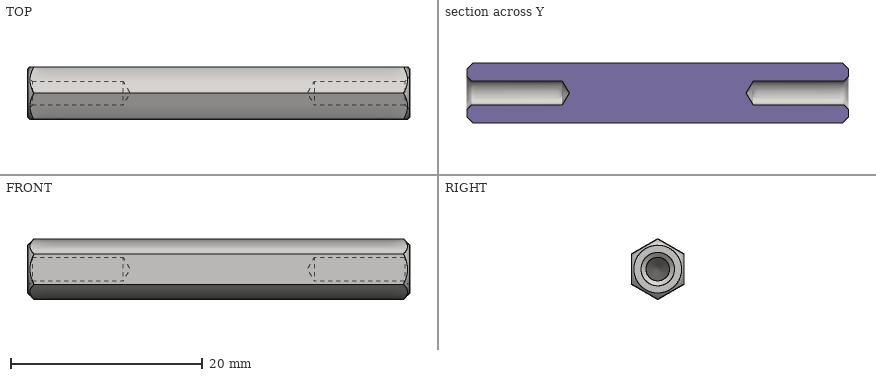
import cadquery as cq
import math

length = 40.0
across_flats = 5.5
across_corners = across_flats / math.cos(math.radians(30))

end_face_diameter = 5.0
end_chamfer_angle = 45.0

hole_diameter = 2.46
hole_depth = 10.0
drill_point_angle = 118.0
countersink_diameter = 3.5
countersink_angle = 90.0

half_length = length / 2
corner_radius = across_corners / 2


def hex_bar():
    """Hexagonal prism centred on the origin, with corners pointing up and down Z."""
    return (
        cq.Workplane("YZ")
        .polygon(6, across_corners)
        .extrude(half_length, both=True)
        .rotate((0, 0, 0), (1, 0, 0), 90)
    )


def chamfer_envelope():
    """Round bar with coned ends that just encloses the hexagon corners."""
    end_radius = end_face_diameter / 2
    chamfer_length = (corner_radius - end_radius) / math.tan(math.radians(end_chamfer_angle))
    shoulder = half_length - chamfer_length
    profile = [
        (-half_length, 0),
        (-half_length, end_radius),
        (-shoulder, corner_radius),
        (shoulder, corner_radius),
        (half_length, end_radius),
        (half_length, 0),
    ]
    return cq.Workplane("XY").polyline(profile).close().revolve(360, (0, 0, 0), (1, 0, 0))


def end_hole():
    """Cutter for the countersunk blind hole in the -X end."""
    hole_radius = hole_diameter / 2
    mouth_radius = countersink_diameter / 2
    countersink_depth = (mouth_radius - hole_radius) / math.tan(math.radians(countersink_angle / 2))
    point_length = hole_radius / math.tan(math.radians(drill_point_angle / 2))
    profile = [
        (-half_length, 0),
        (-half_length, mouth_radius),
        (-half_length + countersink_depth, hole_radius),
        (-half_length + hole_depth, hole_radius),
        (-half_length + hole_depth + point_length, 0),
    ]
    return cq.Workplane("XY").polyline(profile).close().revolve(360, (0, 0, 0), (1, 0, 0))


left_hole = end_hole()
right_hole = left_hole.mirror("YZ")

result = hex_bar().intersect(chamfer_envelope()).cut(left_hole).cut(right_hole)